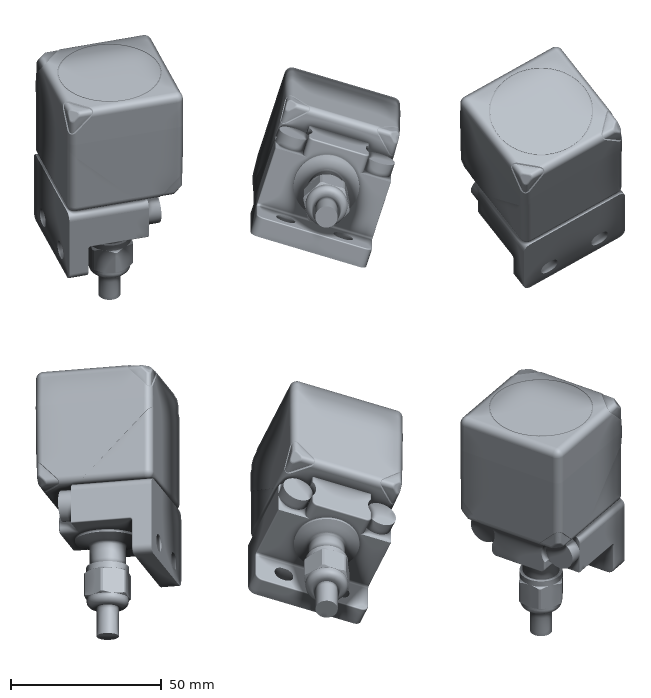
import cadquery as cq
import math


head_half = 20.075
head_height = 40.15
parting_z = -12.4
draft = 0.5
edge_radius = 2.5
face_ring_radius = 17.3
face_ring_width = 0.4
face_ring_depth = 0.2
panel_line_top = -15.2

recess_reach = 10.0
recess_depth = 0.45
facet_reach = 4.1
recess_edge_radius = 1.6
facet_rim_radius = 0.8

base_top = -head_height
base_height = 26.15
base_corner_radius = 2.6
base_back_y = 7.5
arm_height = 14.0
arm_bottom = base_top - arm_height
foot_back_y = -13.3
foot_inner_radius = 0.8
arm_edge_radius = 0.4
slot_length = 6.65
slot_width = 5.75
slot_spacing = 20.0
slot_z = base_top - 20.1

clamp_back_y = 14.1
clamp_half_width = 10.5
clamp_edge_radius = 0.5
clamp_bottom_radius = 1.8
scallop_radius = 5.6
knob_radius = 5.2
knob_x = 14.85
knob_z = base_top - 6.25
knob_back_y = 11.9

flange_radius = 10.9
flange_rim = 0.8
flange_height = 2.65
neck_radius = 6.1
neck_length = 7.3
neck_fillet_radius = 0.7
collar_radius = 7.15
collar_height = 2.1
hex_flats = 14.2
hex_corner_radius = 7.97
hex_height = 8.8
hex_chamfer_height = 0.5
cap_radius = 7.0
cap_height = 3.1
cap_edge_radius = 2.2
cable_radius = 3.7
part_height = 88.06

flange_end_z = arm_bottom - flange_height
collar_top_z = flange_end_z - neck_length
hex_top_z = collar_top_z - collar_height
hex_bottom_z = hex_top_z - hex_height
cap_bottom_z = hex_bottom_z - cap_height


def box_between(x_range, y_range, z_range):
    """Axis-aligned box from three (low, high) pairs."""
    lengths = [high - low for low, high in (x_range, y_range, z_range)]
    return cq.Workplane("XY").box(*lengths, centered=False).translate(
        (x_range[0], y_range[0], z_range[0]))


def cylinder(radius, z_top, z_bottom):
    return cq.Workplane("XY").workplane(offset=z_bottom).circle(radius).extrude(z_top - z_bottom)


def upper_head():
    block = cq.Workplane("XY").workplane(offset=parting_z).rect(2 * head_half, 2 * head_half)
    block = block.extrude(-parting_z, taper=draft)
    return block.edges("not <Z").fillet(edge_radius)


def lower_head(side_draft):
    """Lower half with an upright front, a drafted back and the given inward lean on each side."""
    depth = head_height + parting_z
    back_inset = depth * math.tan(math.radians(draft))
    bottom_half = head_half - back_inset
    top_half = bottom_half + depth * math.tan(math.radians(side_draft))
    block = (
        cq.Workplane("YZ")
        .polyline([(-head_half, parting_z), (head_half, parting_z),
                   (bottom_half, -head_height), (-head_half, -head_height)])
        .close()
        .extrude(head_half, both=True)
    )
    sides = (
        cq.Workplane("XZ")
        .polyline([(-top_half, parting_z), (top_half, parting_z),
                   (bottom_half, -head_height), (-bottom_half, -head_height)])
        .close()
        .extrude(2 * head_half, both=True)
    )
    return block.intersect(sides).edges("not >Z").fillet(edge_radius)


def panel_zone():
    """Wedge below the 45 degree panel line, over the front lower part of the sides."""
    drop = head_height + panel_line_top
    return (
        cq.Workplane("YZ")
        .polyline([(-head_half, panel_line_top), (-head_half + drop, -head_height),
                   (-head_half, -head_height)])
        .close()
        .extrude(head_half, both=True)
    )


def corner_pyramid(reach):
    """Tetrahedron on a cube corner at the origin, with its legs along +X, +Y and +Z."""
    tip = (0, 0, 0)
    legs = [(reach, 0, 0), (0, reach, 0), (0, 0, reach)]
    triangles = [legs, [tip, legs[0], legs[1]], [tip, legs[1], legs[2]], [tip, legs[2], legs[0]]]
    faces = [cq.Face.makeFromWires(cq.Wire.makePolygon(t, close=True)) for t in triangles]
    return cq.Workplane(cq.Solid.makeSolid(cq.Shell.makeShell(faces)))


def corner_recess():
    """Cutter for one recess, with the sharp head corner at the origin and the head in +X +Y +Z."""
    core_size = 2 * recess_reach
    facet_center = facet_reach / 3
    core = (
        cq.Workplane("XY").box(core_size, core_size, core_size, centered=False)
        .edges("(<X and <Y) or (<Y and <Z) or (<Z and <X)").fillet(recess_edge_radius)
        .cut(corner_pyramid(facet_reach))
    )
    facet = core.faces(cq.selectors.NearestToPointSelector((facet_center,) * 3))
    core = facet.edges().fillet(facet_rim_radius)
    core = core.translate((recess_depth, recess_depth, recess_depth))
    return corner_pyramid(recess_reach).cut(core)


def head():
    zone = panel_zone()
    lower = lower_head(draft).cut(zone).union(lower_head(0).intersect(zone))
    body = upper_head().union(lower)
    ring = cylinder(face_ring_radius, 0, -face_ring_depth).cut(
        cylinder(face_ring_radius - face_ring_width, 0, -face_ring_depth))
    body = body.cut(ring)

    left_recess = corner_recess()
    top_front = left_recess.mirror("XY").translate((-head_half, -head_half, 0))
    bottom_back = left_recess.mirror("XZ").translate((-head_half, head_half, -head_height))
    for recess in (top_front, bottom_back):
        body = body.cut(recess).cut(recess.mirror("YZ"))
    return body


def base():
    depth = base_back_y + head_half
    block = (
        box_between((-head_half, head_half), (-head_half, base_back_y),
                    (base_top - base_height, base_top))
        .edges("|Y").fillet(base_corner_radius)
    )
    undercut = (
        box_between((-2 * head_half, 2 * head_half), (foot_back_y, foot_back_y + depth),
                    (base_top - 2 * base_height, arm_bottom))
        .edges("|X and >Z and <Y").fillet(foot_inner_radius)
    )
    slots = (
        cq.Workplane("XZ").center(0, slot_z)
        .rarray(slot_spacing, 1, 2, 1)
        .slot2D(slot_length, slot_width)
        .extrude(2 * head_half, both=True)
    )
    block = block.cut(undercut)
    arm_underside = cq.selectors.NearestToPointSelector((0, 0, arm_bottom))
    side_edges = block.faces(arm_underside).edges("<X or >X")
    return side_edges.fillet(arm_edge_radius).cut(slots)


def y_cylinder(radius, x, z, y_range):
    """Cylinder along Y."""
    start, end = y_range
    return cq.Workplane("XZ", origin=(x, start, z)).circle(radius).extrude(start - end)


def clamp():
    block = (
        box_between((-clamp_half_width, clamp_half_width), (base_back_y, clamp_back_y),
                    (arm_bottom, base_top))
        .edges("|Y and <Z").fillet(clamp_bottom_radius)
        .edges("|Y and >Z").fillet(clamp_edge_radius)
        .edges(">Y").fillet(clamp_edge_radius)
    )
    for x in (-knob_x, knob_x):
        block = block.cut(y_cylinder(scallop_radius, x, knob_z, (base_back_y, clamp_back_y)))
        block = block.union(y_cylinder(knob_radius, x, knob_z, (base_back_y, knob_back_y)))
    return block


def cable_gland():
    flange = (
        cq.Workplane("XZ")
        .polyline([(0, arm_bottom), (flange_radius, arm_bottom),
                   (flange_radius, arm_bottom - flange_rim),
                   (neck_radius, flange_end_z), (0, flange_end_z)])
        .close()
        .revolve(360, (0, 0, 0), (0, 1, 0))
    )
    neck = flange.union(cylinder(neck_radius, flange_end_z, collar_top_z))
    flange_joint = cq.selectors.NearestToPointSelector((0, 0, flange_end_z))
    neck = neck.edges(flange_joint).fillet(neck_fillet_radius)
    hex_corner_diameter = hex_flats / math.cos(math.radians(30))
    chamfer_width = hex_corner_radius - hex_flats / 2
    turned_blank = (
        cylinder(hex_corner_radius, hex_top_z, hex_bottom_z)
        .faces("<Z or >Z").edges().chamfer(hex_chamfer_height, chamfer_width)
    )
    hexagon = (
        cq.Workplane("XY").workplane(offset=hex_bottom_z)
        .polygon(6, hex_corner_diameter)
        .extrude(hex_top_z - hex_bottom_z)
        .intersect(turned_blank)
    )
    cap = cylinder(cap_radius, hex_bottom_z, cap_bottom_z).edges("<Z").fillet(cap_edge_radius)
    return (
        neck
        .union(cylinder(collar_radius, collar_top_z, hex_top_z))
        .union(hexagon)
        .union(cap)
        .union(cylinder(cable_radius, cap_bottom_z, -part_height))
    )


result = head().union(base()).union(clamp()).union(cable_gland())